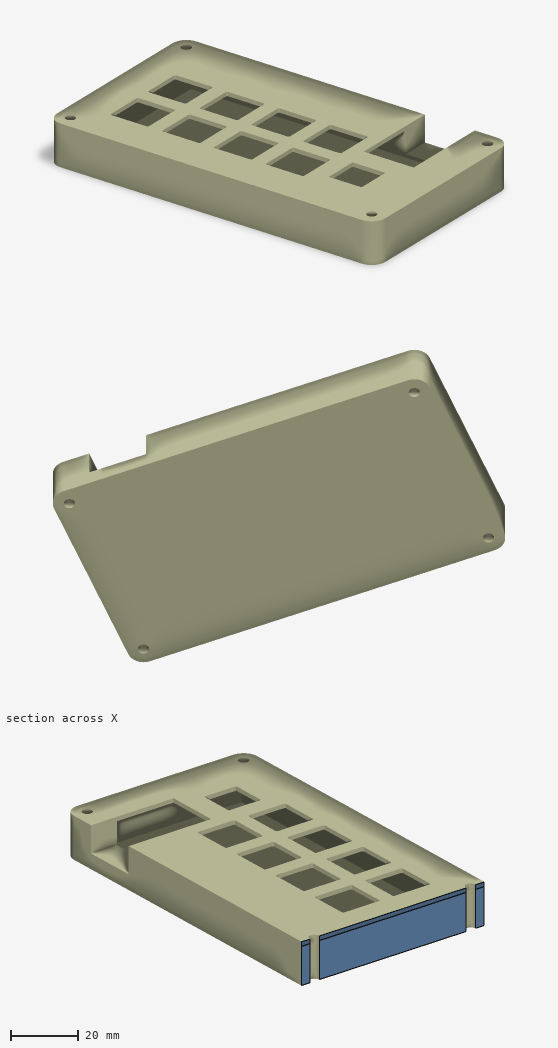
import cadquery as cq

LENGTH = 121.0
WIDTH = 68.8
TOTAL_HEIGHT = 14.5
PLATE_THICKNESS = 1.5
CASE_HEIGHT = TOTAL_HEIGHT - PLATE_THICKNESS
CORNER_RADIUS = 5.0

SCREW_HOLE_DIAMETER = 3.4
SCREW_SPACING_X = LENGTH - 2 * CORNER_RADIUS
SCREW_SPACING_Y = WIDTH - 2 * CORNER_RADIUS

SIDE_WALL = 10.0
END_WALL = 9.7
FLOOR = 4.0
CAVITY_LENGTH = LENGTH - 2 * SIDE_WALL
CAVITY_WIDTH = WIDTH - 2 * END_WALL

KEY_COLUMNS = 4
KEY_ROWS = 2
KEY_SIZE = 14.0
KEY_CORNER_RADIUS = 0.5
KEY_SPAN_X = 57.2
KEY_PITCH = KEY_SPAN_X / (KEY_COLUMNS - 1)
KEY_CENTER_X = -11.6
KEY_CENTER_Y = -4.2

KNOB_SIZE = 12.1
KNOB_CENTER_X = 36.4
KNOB_CENTER_Y = -10.5

BAY_WIDTH = 18.4
BAY_CENTER_X = 38.0
BAY_FRONT_Y = 3.4
BAY_LENGTH = WIDTH / 2 - BAY_FRONT_Y
BAY_CENTER_Y = BAY_FRONT_Y + BAY_LENGTH / 2
BAY_SILL_HEIGHT = 5.2


def rounded_slab(height):
    """Outline shared by the case and the plate, with its four screw holes."""
    return (
        cq.Workplane("XY")
        .rect(LENGTH, WIDTH)
        .extrude(height)
        .edges("|Z")
        .fillet(CORNER_RADIUS)
        .faces(">Z")
        .workplane(origin=(0, 0, height))
        .rect(SCREW_SPACING_X, SCREW_SPACING_Y, forConstruction=True)
        .vertices()
        .hole(SCREW_HOLE_DIAMETER)
    )


def make_case():
    cavity = (
        cq.Workplane("XY")
        .workplane(offset=FLOOR)
        .rect(CAVITY_LENGTH, CAVITY_WIDTH)
        .extrude(CASE_HEIGHT - FLOOR)
    )
    wall_notch = (
        cq.Workplane("XY")
        .workplane(offset=BAY_SILL_HEIGHT)
        .center(BAY_CENTER_X, BAY_CENTER_Y)
        .rect(BAY_WIDTH, BAY_LENGTH)
        .extrude(CASE_HEIGHT - BAY_SILL_HEIGHT)
    )
    return rounded_slab(CASE_HEIGHT).cut(cavity).cut(wall_notch)


def make_plate():
    key_openings = (
        cq.Workplane("XY")
        .center(KEY_CENTER_X, KEY_CENTER_Y)
        .rarray(KEY_PITCH, KEY_PITCH, KEY_COLUMNS, KEY_ROWS)
        .rect(KEY_SIZE, KEY_SIZE)
        .extrude(PLATE_THICKNESS)
        .edges("|Z")
        .fillet(KEY_CORNER_RADIUS)
    )
    knob_opening = (
        cq.Workplane("XY")
        .center(KNOB_CENTER_X, KNOB_CENTER_Y)
        .rect(KNOB_SIZE, KNOB_SIZE)
        .extrude(PLATE_THICKNESS)
    )
    bay_opening = (
        cq.Workplane("XY")
        .center(BAY_CENTER_X, BAY_CENTER_Y)
        .rect(BAY_WIDTH, BAY_LENGTH)
        .extrude(PLATE_THICKNESS)
    )
    plate = rounded_slab(PLATE_THICKNESS).cut(key_openings).cut(knob_opening).cut(bay_opening)
    return plate.translate((0, 0, CASE_HEIGHT))


case = make_case()
plate = make_plate()

result = cq.Compound.makeCompound([case.val(), plate.val()])